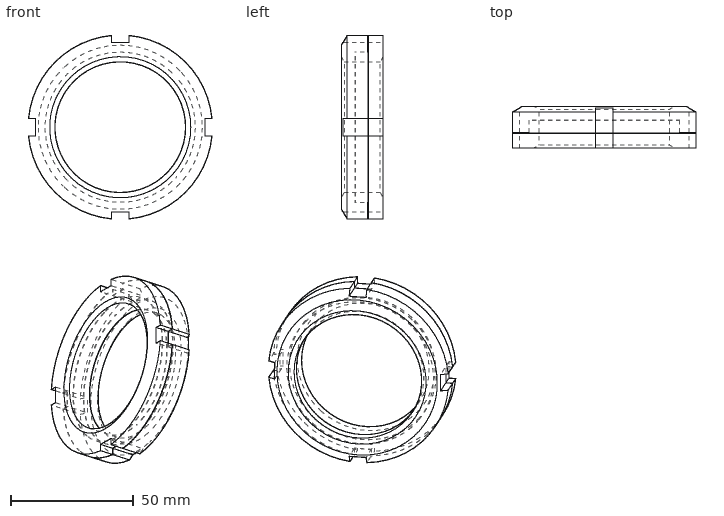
import cadquery as cq

outer_diameter = 75.0
bore_diameter = 53.0
total_width = 17.0

flange_width = 6.0
hub_end = 11.3
hub_diameter = 61.1
joint_gap = 0.2

bore_chamfer_radial = 2.2
bore_chamfer_axial = 1.3
rim_chamfer_radial = 4.1
rim_chamfer_axial = 2.4

slot_count = 4
slot_width = 7.0
slot_depth = 3.0

outer_radius = outer_diameter / 2
bore_radius = bore_diameter / 2
hub_radius = hub_diameter / 2
bore_mouth_radius = bore_radius + bore_chamfer_radial
slot_floor_radius = outer_radius - slot_depth


def revolve_about_y(profile_points):
    """Turn a closed (radius, Y) profile a full turn about the Y axis."""
    profile = cq.Workplane("XY").polyline(profile_points).close()
    return profile.revolve(360, (0, 0, 0), (0, 1, 0))


def cut_slots(ring):
    """Cut the spanner slots through the full width of a ring."""
    cutter = cq.Workplane("XY").box(
        2 * slot_depth, total_width, slot_width, centered=(False, False, True)
    ).translate((slot_floor_radius, 0, 0))
    for i in range(slot_count):
        ring = ring.cut(cutter.rotate((0, 0, 0), (0, 1, 0), i * 360 / slot_count))
    return ring


def make_front_ring():
    """Slotted flange with a chamfered bore mouth and a hub reaching into the rear ring."""
    ring = revolve_about_y([
        (bore_mouth_radius, 0),
        (outer_radius, 0),
        (outer_radius, flange_width),
        (hub_radius, flange_width),
        (hub_radius, hub_end),
        (bore_radius, hub_end),
        (bore_radius, bore_chamfer_axial),
    ])
    return cut_slots(ring)


def make_rear_ring():
    """Slotted ring counterbored for the hub, with a rim chamfer and a chamfered bore mouth."""
    ring = revolve_about_y([
        (hub_radius, flange_width + joint_gap),
        (outer_radius, flange_width + joint_gap),
        (outer_radius, total_width - rim_chamfer_axial),
        (outer_radius - rim_chamfer_radial, total_width),
        (bore_mouth_radius, total_width),
        (bore_radius, total_width - bore_chamfer_axial),
        (bore_radius, hub_end + joint_gap),
        (hub_radius, hub_end + joint_gap),
    ])
    return cut_slots(ring)


front_ring = make_front_ring()
rear_ring = make_rear_ring()

result = cq.Compound.makeCompound([front_ring.val(), rear_ring.val()])